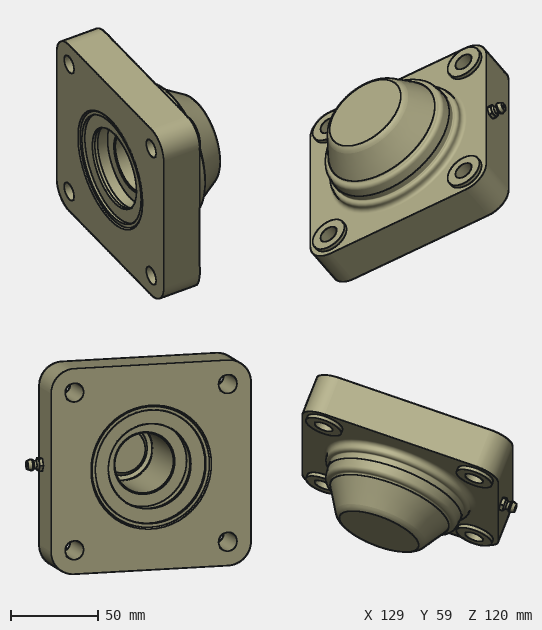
import cadquery as cq
import math


plate_side = 120.0
plate_thickness = 24.0
plate_corner_radius = 13.8
bolt_spacing = 92.0
bolt_hole_diameter = 11.0
boss_radius = 10.8
boss_height = 2.3

hub_radius = 44.0
hub_top = 29.7
hub_foot_round = 2.6
hub_edge_round = 2.0
rim_radius = 40.9
rim_top = 33.5
rim_foot_round = 0.5
neck_radius = 38.3
neck_top = 38.0

seal_radius = 35.2
seal_chamfer = 0.9
seal_inner_radius = 24.8
seal_recess_radius = 33.2
seal_recess_bottom = 2.8
seal_back = 4.5

bore_radius = 17.5
bore_chamfer = 0.6
inner_ring_radius = 25.3
inner_ring_front = 13.3
inner_ring_back = 55.9
outer_ring_radius = 36.0
outer_ring_front = 21.0
passage_chamfer_radius = 26.0
passage_chamfer_end = 6.7

unit_depth = 59.0
cap_shoulder_radius = 40.2
cap_shoulder_start = 38.3
cap_shoulder_round = 2.2
cone_base_radius = 36.4
cone_base_level = 41.8
cone_foot_radius = 37.3
cone_tip_radius = 27.6
cone_tip_level = 56.2
cap_end_radius = 24.3
cap_wall = 2.3
groove_outer_radius = 18.0
groove_inner_radius = 15.1
groove_bottom = 57.4
stud_radius = 13.2
stud_tip = 54.8

fitting_y = 19.0
fitting_z = 1.5
hex_across_flats = 7.1
hex_length = 2.2
collar_radius = 3.4
collar_end = 3.4
fitting_neck_radius = 2.3
head_start = 5.2
head_start_radius = 2.8
head_widest = 6.2
head_widest_radius = 3.4
head_end = 8.6
head_end_radius = 2.5
ball_radius = 0.8
fitting_length = 9.0


def turned(profile):
    """Revolve a closed (radius, Y) sketch about the Y axis."""
    return profile.close().revolve(360, (0, 0, 0), (0, 1, 0))


def outline(points):
    """Polyline of (radius, Y) points."""
    return cq.Workplane("XY").polyline(points)


def on_bolt_pattern(radius, start, end):
    """Cylinders along Y on the four bolt centres."""
    return (
        cq.Workplane("XZ", origin=(0, start, 0))
        .rect(bolt_spacing, bolt_spacing, forConstruction=True)
        .vertices()
        .circle(radius)
        .extrude(start - end)
    )


def make_housing():
    boss_top = plate_thickness + boss_height
    plate = (
        cq.Workplane("XZ")
        .rect(plate_side, plate_side)
        .extrude(-plate_thickness)
        .edges("|Y")
        .fillet(plate_corner_radius)
    )
    foot_level = plate_thickness + hub_foot_round
    hub = turned(
        outline([
            (0, plate_thickness / 2),
            (hub_radius + hub_foot_round, plate_thickness / 2),
            (hub_radius + hub_foot_round, plate_thickness),
        ])
        .radiusArc((hub_radius, foot_level), hub_foot_round)
        .lineTo(hub_radius, hub_top - hub_edge_round)
        .tangentArcPoint((hub_radius - hub_edge_round, hub_top), relative=False)
        .lineTo(rim_radius + rim_foot_round, hub_top)
        .radiusArc((rim_radius, hub_top + rim_foot_round), rim_foot_round)
        .lineTo(rim_radius, rim_top)
        .lineTo(neck_radius, rim_top)
        .lineTo(neck_radius, neck_top)
        .lineTo(0, neck_top)
    )
    bore = turned(outline([
        (0, 0),
        (seal_radius + seal_chamfer, 0),
        (seal_radius, seal_chamfer),
        (seal_radius, seal_back),
        (passage_chamfer_radius, seal_back),
        (inner_ring_radius, passage_chamfer_end),
        (inner_ring_radius, outer_ring_front),
        (outer_ring_radius, outer_ring_front),
        (outer_ring_radius, neck_top),
        (0, neck_top),
    ]))
    bosses = on_bolt_pattern(boss_radius, plate_thickness / 2, boss_top)
    bolt_holes = on_bolt_pattern(bolt_hole_diameter / 2, 0, boss_top)
    return plate.union(hub).union(bosses).cut(bore).cut(bolt_holes)


def make_seal():
    return turned(outline([
        (seal_recess_radius, seal_chamfer),
        (seal_radius, seal_chamfer),
        (seal_radius, seal_back),
        (seal_inner_radius, seal_back),
        (seal_inner_radius, seal_recess_bottom),
        (seal_recess_radius, seal_recess_bottom),
    ]))


def make_bearing():
    return turned(outline([
        (bore_radius + bore_chamfer, inner_ring_front),
        (inner_ring_radius, inner_ring_front),
        (inner_ring_radius, outer_ring_front),
        (outer_ring_radius, outer_ring_front),
        (outer_ring_radius, neck_top),
        (inner_ring_radius, neck_top),
        (inner_ring_radius, inner_ring_back),
        (bore_radius, inner_ring_back),
        (bore_radius, inner_ring_front + bore_chamfer),
    ]))


def make_cap():
    cone_slope = (cone_base_radius - cone_tip_radius) / (cone_tip_level - cone_base_level)

    def cavity_radius(level):
        return cone_tip_radius - cap_wall + cone_slope * (cone_tip_level - level)

    shoulder_level = cap_shoulder_start + cap_shoulder_round
    return turned(
        outline([
            (neck_radius, rim_top),
            (rim_radius, rim_top),
            (cap_shoulder_radius, cap_shoulder_start),
        ])
        .tangentArcPoint((cap_shoulder_radius - cap_shoulder_round, shoulder_level), relative=False)
        .lineTo(cone_foot_radius, shoulder_level)
        .tangentArcPoint((cone_base_radius, cone_base_level), relative=False)
        .lineTo(cone_tip_radius, cone_tip_level)
        .tangentArcPoint((cap_end_radius, unit_depth), relative=False)
        .lineTo(0, unit_depth)
        .lineTo(0, stud_tip)
        .lineTo(stud_radius, stud_tip)
        .lineTo(groove_inner_radius, groove_bottom)
        .lineTo(groove_outer_radius, inner_ring_back)
        .lineTo(cavity_radius(inner_ring_back), inner_ring_back)
        .lineTo(cavity_radius(neck_top), neck_top)
        .lineTo(neck_radius, neck_top)
    )


def make_fitting():
    """Grease fitting built along +Z, then laid against the -X side of the plate."""
    hex_diameter = hex_across_flats / math.cos(math.pi / 6)
    hex_base = cq.Workplane("XY").polygon(6, hex_diameter).extrude(hex_length)
    nozzle = (
        cq.Workplane("XZ")
        .polyline([
            (0, 0),
            (collar_radius, 0),
            (collar_radius, hex_length),
            (fitting_neck_radius, collar_end),
            (fitting_neck_radius, head_start),
            (head_start_radius, head_start),
            (head_widest_radius, head_widest),
            (head_end_radius, head_end),
            (ball_radius, head_end),
            (0, fitting_length),
        ])
        .close()
        .revolve(360, (0, 0, 0), (0, 1, 0))
    )
    return (
        hex_base.union(nozzle)
        .rotate((0, 0, 0), (0, 0, 1), 90)
        .rotate((0, 0, 0), (0, 1, 0), -90)
        .translate((-plate_side / 2, fitting_y, fitting_z))
    )


housing = make_housing()
seal = make_seal()
bearing = make_bearing()
cap = make_cap()
fitting = make_fitting()

result = cq.Compound.makeCompound([
    housing.val(),
    seal.val(),
    bearing.val(),
    cap.val(),
    fitting.val(),
])